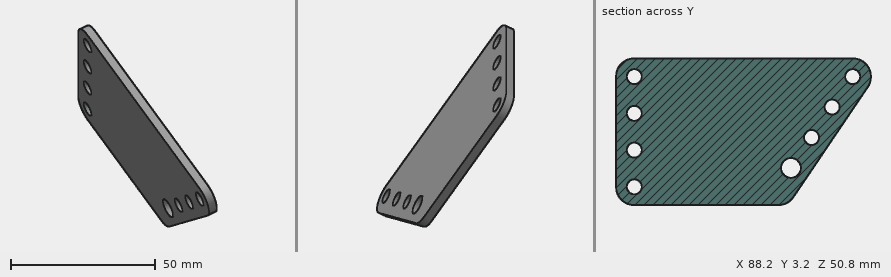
import cadquery as cq
import math

length = 88.2
height = 50.8
thickness = 3.2
corner_radius = 6.35
hole_pitch = 12.7
small_hole_diameter = 5.1
large_hole_diameter = 6.8
bottom_right_center_x = 56.1
holes_per_row = 4

left_x = corner_radius
right_x = length - corner_radius
bottom_z = corner_radius
top_z = height - corner_radius
corner_centers = [
    (left_x, bottom_z),
    (bottom_right_center_x, bottom_z),
    (right_x, top_z),
    (left_x, top_z),
]

slant_run = bottom_right_center_x - right_x
slant_rise = bottom_z - top_z
slant_length = math.hypot(slant_run, slant_rise)
slant_x = slant_run / slant_length
slant_z = slant_rise / slant_length

left_row = [(left_x, top_z - i * hole_pitch) for i in range(holes_per_row)]
slanted_row = [
    (right_x + i * hole_pitch * slant_x, top_z + i * hole_pitch * slant_z)
    for i in range(holes_per_row)
]
small_holes = left_row + slanted_row[:-1]
large_holes = slanted_row[-1:]


def make_plate():
    """Plate whose edge runs one corner radius outside the corner centres."""
    return (
        cq.Workplane("XZ")
        .polyline(corner_centers)
        .close()
        .offset2D(corner_radius, "arc")
        .extrude(-thickness)
    )


def make_holes(centers, diameter):
    """Cylinders through the full plate thickness."""
    return cq.Workplane("XZ").pushPoints(centers).circle(diameter / 2).extrude(-thickness)


result = (
    make_plate()
    .cut(make_holes(small_holes, small_hole_diameter))
    .cut(make_holes(large_holes, large_hole_diameter))
)